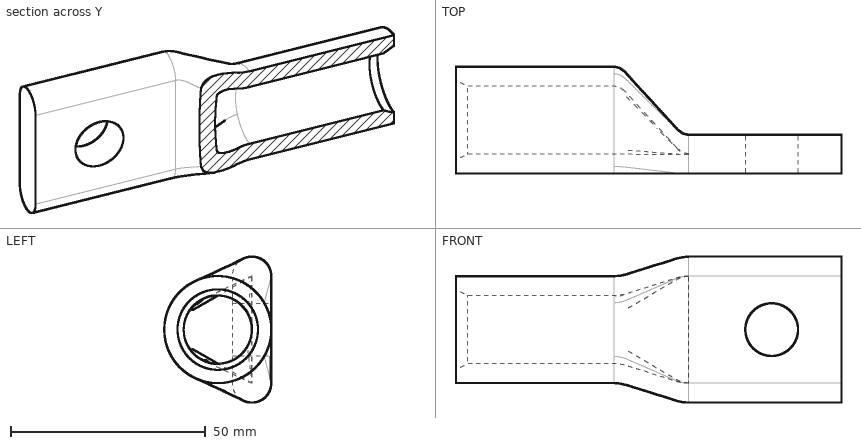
import cadquery as cq
import math

total_length = 99.21
barrel_diameter = 27.56
barrel_length = 40.7

palm_width = 37.59
palm_length = 39.4
palm_thickness = palm_width - barrel_diameter
palm_start = total_length - palm_length
palm_y = (palm_thickness - barrel_diameter) / 2

hole_diameter = 13.5
hole_to_end = 18.0

wall = palm_thickness / 2
bore_diameter = barrel_diameter - 2 * wall
mouth_diameter = 20.7
mouth_depth = 3.0
slit_thickness = 0.2
slit_width = palm_width - 2 * wall

neck_length = palm_start - barrel_length
ease_fraction = 0.17
split_angle = math.radians(30)
neck_stations = (0, 0.06, 0.12, 0.2, 0.35, 0.5, 0.65, 0.8, 0.88, 0.94, 1)


def eased(fraction):
    """Progress from round to flat: a straight ramp with parabolic ends."""
    peak_rate = 1 / (1 - ease_fraction)
    if fraction < ease_fraction:
        return peak_rate * fraction**2 / (2 * ease_fraction)
    if fraction > 1 - ease_fraction:
        return 1 - eased(1 - fraction)
    return peak_rate * (fraction - ease_fraction / 2)


def round_points(diameter):
    """Eight (y, z) points on a circle: the corners and middles of four arcs."""
    radius = diameter / 2
    quarter = math.pi / 2
    angles = []
    for side in (0, math.pi):
        angles += [side - split_angle, side, side + split_angle, side + quarter]
    return [(radius * math.cos(a), radius * math.sin(a)) for a in angles]


def flat_points(width, thickness):
    """The matching eight (y, z) points on a slot shape centred in the palm."""
    half_thickness = thickness / 2
    half_flat = width / 2 - half_thickness
    points = []
    for side in (1, -1):
        face_y = palm_y + side * half_thickness
        points += [
            (face_y, -side * half_flat),
            (face_y, 0),
            (face_y, side * half_flat),
            (palm_y, side * width / 2),
        ]
    return points


def neck_section(fraction, start_points, end_points):
    """Closed outline of the neck at a fraction of its length."""
    progress = eased(fraction)
    x = barrel_length + fraction * neck_length
    points = []
    for (y0, z0), (y1, z1) in zip(start_points, end_points):
        points.append(cq.Vector(x, y0 + progress * (y1 - y0), z0 + progress * (z1 - z0)))
    corners = points[0::2]
    middles = points[1::2]
    edges = []
    for i, corner in enumerate(corners):
        next_corner = corners[(i + 1) % len(corners)]
        is_face = i % 2 == 0
        if is_face and fraction == 1:
            edges.append(cq.Edge.makeLine(corner, next_corner))
        else:
            edges.append(cq.Edge.makeThreePointArc(corner, middles[i], next_corner))
    return cq.Wire.assembleEdges(edges)


def neck(diameter, width, thickness):
    """Solid blending a circle into a slot shape."""
    start_points = round_points(diameter)
    end_points = flat_points(width, thickness)
    sections = [neck_section(f, start_points, end_points) for f in neck_stations]
    return cq.Workplane(cq.Solid.makeLoft(sections))


def rod(diameter, length):
    return cq.Workplane("YZ").circle(diameter / 2).extrude(length)


def palm():
    return (
        cq.Workplane("YZ", origin=(palm_start, palm_y, 0))
        .slot2D(palm_width, palm_thickness, 90)
        .extrude(palm_length)
    )


def mouth_cone():
    """Countersink that opens the bore at the mouth."""
    return cq.Workplane(
        cq.Solid.makeCone(
            mouth_diameter / 2, bore_diameter / 2, mouth_depth, dir=cq.Vector(1, 0, 0)
        )
    )


def bolt_hole():
    return (
        cq.Workplane("XZ", origin=(total_length - hole_to_end, 0, 0))
        .circle(hole_diameter / 2)
        .extrude(barrel_diameter, both=True)
    )


outside = rod(barrel_diameter, barrel_length)
outside = outside.union(neck(barrel_diameter, palm_width, palm_thickness)).union(palm())

cavity = rod(bore_diameter, barrel_length)
cavity = cavity.union(neck(bore_diameter, slit_width, slit_thickness)).union(mouth_cone())

result = outside.cut(cavity).cut(bolt_hole())